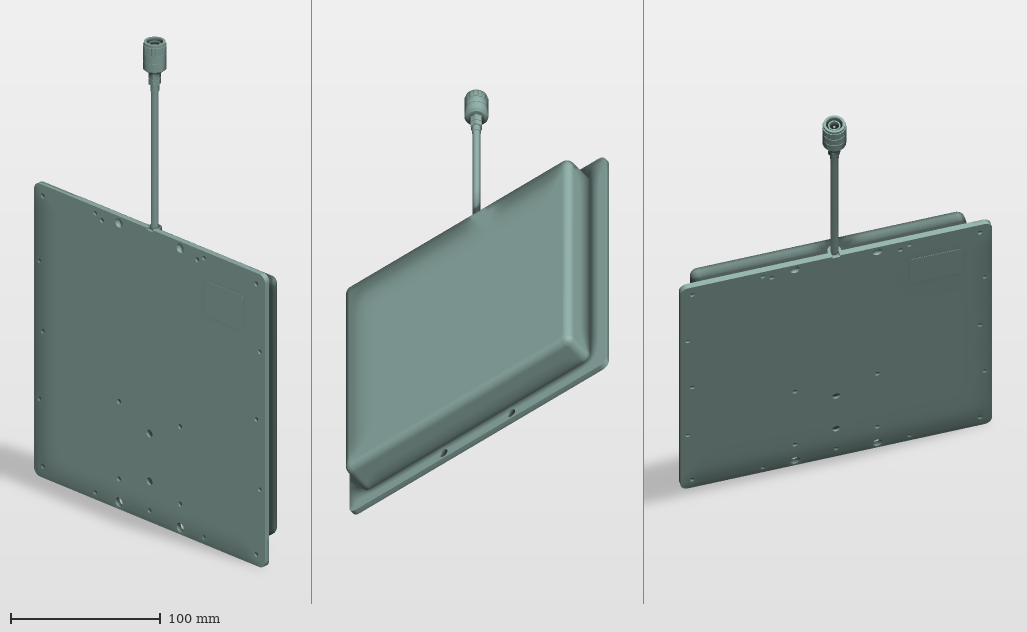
import cadquery as cq
import math


flange_size = 215.9
flange_thickness = 4.0
dome_size = 190.5
dome_back_y = 27.6
corner_radius = 5.5
dome_edge_radius = 5.4
flange_half = flange_size / 2
dome_half = dome_size / 2

rim_width = 1.5
panel_thickness = 2.0
panel_size = flange_size - 2 * rim_width
panel_corner_radius = 6.5
ear_center = 102.9
screw_ear_width = 6.4
screw_ear_offset = 50.8
screw_hole_diameter = 3.2
mount_ear_width = 9.5
mount_hole_diameter = 6.7
mount_pitch = 57.15
mount_offset = mount_pitch / 2

rivet_hole_diameter = 3.5
rivet_offset = 99.7
top_rivet_offset = 44.5
bracket_hole_diameter = 3.6
bracket_center_z = -mount_pitch
center_hole_diameter = 5.4
center_hole_heights = (-42.9, -78.2)

label_width = 36.0
label_height = 25.4
label_thickness = 0.2
label_corner_radius = 2.0
label_center_x = 69.5
label_center_z = 74.2

cable_y = 5.0
cable_radius = 2.65
gland_radius = 4.7
cable_bottom_z = dome_half
cable_top_z = 213.3

connector_top_z = 244.6
nut_radius = 8.0
nut_tip_radius = 7.3
nut_shoulder_radius = 6.2
collar_radius = 3.0
collar_bottom_z = 208.2
ferrule_bottom_z = cable_top_z
ferrule_corner_radius = 4.2
ferrule_neck_radius = 3.4
ferrule_groove_z = 217.8
nut_bottom_z = 223.5
nut_chamfer_top_z = 225.0
nut_groove_z = 231.4
grip_bottom_z = 237.4
grip_top_z = 242.6
groove_depth = 0.3
groove_height = 0.5
flute_count = 16
flute_radius = 0.8
socket_radius = 5.6
socket_depth = 9.0
sleeve_outer_radius = 4.2
sleeve_inner_radius = 3.2
sleeve_recess = 1.5
pin_radius = 0.9
pin_recess = 3.0


def back_plane(y):
    """Workplane parallel to XZ at the given Y, drawn in X and Z and extruding toward +Y."""
    return cq.Workplane(cq.Plane(origin=(0, y, 0), xDir=(1, 0, 0), normal=(0, -1, 0)))


def rounded_plate(size, radius, y, thickness):
    """Square plate with rounded corners that starts at y and grows toward +Y."""
    return back_plane(y).rect(size, size).extrude(-thickness).edges("|Y").fillet(radius)


def back_holes(points, diameter, depth):
    """Cylinders that reach from the back face toward +Y."""
    return back_plane(0).pushPoints(points).circle(diameter / 2).extrude(-depth)


def upright_cylinder(radius, bottom_z, top_z):
    """Cylinder on the axis of the cable."""
    return cq.Workplane("XY", origin=(0, cable_y, bottom_z)).circle(radius).extrude(top_z - bottom_z)


mount_points = [(x, z) for x in (-mount_offset, mount_offset) for z in (-ear_center, ear_center)]
screw_points = [(x, z) for x in (-screw_ear_offset, screw_ear_offset) for z in (-ear_center, ear_center)]
screw_points += [(z, x) for x, z in screw_points]


def make_ear(x, z, width):
    """Round-ended ear from the nearest flange edge to a hole centre at (x, z)."""
    tip = back_plane(0).center(x, z).circle(width / 2).extrude(-panel_thickness)
    if abs(z) > abs(x):
        length = flange_half - abs(z)
        middle = (x, math.copysign(abs(z) + length / 2, z))
        stem_size = (width, length)
    else:
        length = flange_half - abs(x)
        middle = (math.copysign(abs(x) + length / 2, x), z)
        stem_size = (length, width)
    stem = back_plane(0).center(*middle).rect(*stem_size).extrude(-panel_thickness)
    return tip.union(stem)


def make_panel_blank():
    """Panel outline with a notch around every ear, before its holes are drilled."""
    blank = rounded_plate(panel_size, panel_corner_radius, 0, panel_thickness)
    for x, z in mount_points:
        blank = blank.cut(make_ear(x, z, mount_ear_width))
    for x, z in screw_points:
        blank = blank.cut(make_ear(x, z, screw_ear_width))
    return blank


def make_panel():
    rivets = [(x, z) for x in (-rivet_offset, rivet_offset) for z in (-rivet_offset, 0, rivet_offset)]
    rivets += [(-top_rivet_offset, rivet_offset), (top_rivet_offset, rivet_offset), (0, -rivet_offset)]
    sides = (-mount_offset, mount_offset)
    brackets = [(x, bracket_center_z + z) for x in sides for z in sides]
    centers = [(0, z) for z in center_hole_heights]
    panel = make_panel_blank()
    panel = panel.cut(back_holes(rivets, rivet_hole_diameter, panel_thickness))
    panel = panel.cut(back_holes(brackets, bracket_hole_diameter, panel_thickness))
    return panel.cut(back_holes(centers, center_hole_diameter, panel_thickness))


def make_radome():
    flange = rounded_plate(flange_size, corner_radius, 0, flange_thickness)
    dome = rounded_plate(dome_size, corner_radius, flange_thickness, dome_back_y - flange_thickness)
    dome = dome.faces(">Y").edges().fillet(dome_edge_radius)
    gland = upright_cylinder(gland_radius, dome_half - corner_radius, flange_half)
    radome = flange.union(dome).union(gland).cut(make_panel_blank())
    radome = radome.cut(back_holes(mount_points, mount_hole_diameter, flange_thickness))
    radome = radome.cut(back_holes(screw_points, screw_hole_diameter, panel_thickness))

    cable_hole = upright_cylinder(cable_radius, cable_bottom_z, flange_half)
    cable_notch = (
        cq.Workplane("XY", origin=(0, cable_y / 2, flange_half - rim_width))
        .rect(2 * cable_radius, cable_y)
        .extrude(rim_width)
    )
    return radome.cut(cable_hole).cut(cable_notch)


def make_label():
    return (
        back_plane(0)
        .center(label_center_x, label_center_z)
        .rect(label_width, label_height)
        .extrude(label_thickness)
        .edges("|Y")
        .fillet(label_corner_radius)
    )


def make_cable():
    return upright_cylinder(cable_radius, cable_bottom_z, cable_top_z)


def ring_groove(outer_radius, top_z):
    """Ring whose removal leaves a groove just below top_z in a body of the given radius."""
    floor_radius = outer_radius - groove_depth
    bottom_z = top_z - groove_height
    return upright_cylinder(outer_radius + groove_depth, bottom_z, top_z).cut(
        upright_cylinder(floor_radius, bottom_z, top_z)
    )


def make_nut():
    """Coupling nut: turned outline, two ring grooves and a fluted grip at the top."""
    outline = [
        (0, nut_bottom_z),
        (nut_shoulder_radius, nut_bottom_z),
        (nut_radius, nut_chamfer_top_z),
        (nut_radius, grip_top_z),
        (nut_tip_radius, grip_top_z),
        (nut_tip_radius, connector_top_z),
        (0, connector_top_z),
    ]
    nut = cq.Workplane("XZ", origin=(0, cable_y, 0)).polyline(outline).close().revolve(360, (0, 0), (0, 1))
    for groove_z in (nut_groove_z, grip_bottom_z):
        nut = nut.cut(ring_groove(nut_radius, groove_z))
    flutes = (
        cq.Workplane("XY", origin=(0, cable_y, grip_bottom_z))
        .polarArray(nut_radius + flute_radius / 2, 0, 360, flute_count)
        .circle(flute_radius)
        .extrude(grip_top_z - grip_bottom_z)
    )
    return nut.cut(flutes)


def make_connector():
    floor_z = connector_top_z - socket_depth
    sleeve_top_z = connector_top_z - sleeve_recess
    collar = upright_cylinder(collar_radius, collar_bottom_z, ferrule_bottom_z)
    ferrule = (
        cq.Workplane("XY", origin=(0, cable_y, ferrule_bottom_z))
        .polygon(6, 2 * ferrule_corner_radius)
        .extrude(nut_bottom_z - ferrule_bottom_z)
    )
    neck = cq.Workplane("XY", origin=(0, cable_y, ferrule_groove_z - groove_height))
    neck = neck.circle(2 * ferrule_corner_radius).circle(ferrule_neck_radius).extrude(groove_height)
    ferrule = ferrule.cut(neck)
    sleeve = upright_cylinder(sleeve_outer_radius, floor_z, sleeve_top_z)
    sleeve = sleeve.cut(upright_cylinder(sleeve_inner_radius, floor_z, sleeve_top_z))
    pin = upright_cylinder(pin_radius, floor_z, connector_top_z - pin_recess)
    nut = make_nut().cut(upright_cylinder(socket_radius, floor_z, connector_top_z))
    connector = nut.union(sleeve).union(pin).union(ferrule).union(collar)
    return connector.cut(make_cable())


radome = make_radome()
panel = make_panel()
label = make_label()
cable = make_cable()
connector = make_connector()

result = cq.Compound.makeCompound(
    [radome.val(), panel.val(), label.val(), cable.val(), connector.val()]
)